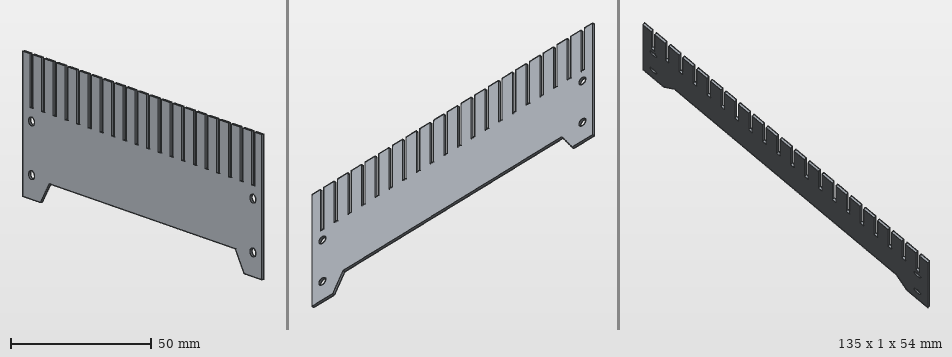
import cadquery as cq

length = 135.0
height = 54.0
thickness = 1.0

slot_count = 20
slot_width = 1.6
slot_depth = 20.0
end_tooth_width = 4.0
slot_span = length - 2 * end_tooth_width - slot_width
slot_pitch = slot_span / (slot_count - 1)

foot_width = 10.0
foot_slope_run = 5.0
recess_height = 8.1

hole_diameter = 3.2
hole_side_inset = 5.0
lower_hole_height = 9.0
hole_row_spacing = 20.0


def make_plate():
    """Upright plate centred on X and Y, standing on Z = 0."""
    foot_inner_x = length / 2 - foot_width
    recess_top_x = foot_inner_x - foot_slope_run
    outline = [
        (-length / 2, 0),
        (-foot_inner_x, 0),
        (-recess_top_x, recess_height),
        (recess_top_x, recess_height),
        (foot_inner_x, 0),
        (length / 2, 0),
        (length / 2, height),
        (-length / 2, height),
    ]
    return cq.Workplane("XZ").polyline(outline).close().extrude(thickness / 2, both=True)


def make_slots():
    """Evenly spaced rectangular cutters along the top edge."""
    slot_centers = [
        (-slot_span / 2 + i * slot_pitch, height - slot_depth / 2)
        for i in range(slot_count)
    ]
    return (
        cq.Workplane("XZ")
        .pushPoints(slot_centers)
        .rect(slot_width, slot_depth)
        .extrude(thickness, both=True)
    )


def make_holes():
    """Cutters for a pair of through holes near each end."""
    hole_x = length / 2 - hole_side_inset
    upper_hole_height = lower_hole_height + hole_row_spacing
    hole_centers = [
        (x, z)
        for x in (-hole_x, hole_x)
        for z in (lower_hole_height, upper_hole_height)
    ]
    return (
        cq.Workplane("XZ")
        .pushPoints(hole_centers)
        .circle(hole_diameter / 2)
        .extrude(thickness, both=True)
    )


result = make_plate().cut(make_slots()).cut(make_holes())